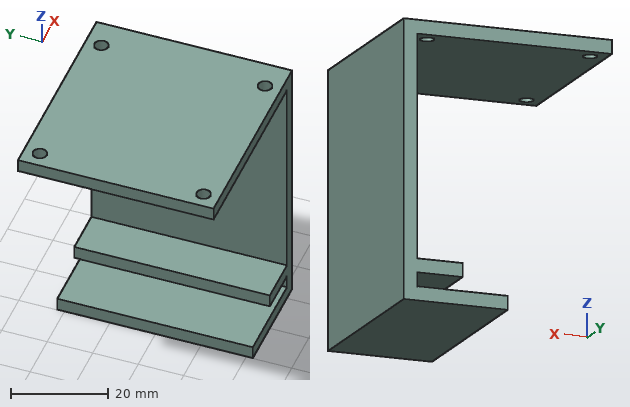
import cadquery as cq

length = 46.0
width = 43.0
height = 60.0
thickness = 3.0

lower_shelf_reach = 20.0
upper_shelf_reach = 10.0
shelf_gap = thickness

hole_diameter = 3.0
hole_spacing = 36.0

plate_reach = length - thickness


def shelf(reach, bottom):
    """Horizontal plate reaching toward -X from the inner face of the wall."""
    return cq.Workplane("XY").box(reach, width, thickness, centered=False).translate(
        (plate_reach - reach, 0, bottom)
    )


wall = cq.Workplane("XY").box(thickness, width, height, centered=False).translate((plate_reach, 0, 0))

top_plate = (
    shelf(plate_reach, height - thickness)
    .faces(">Z")
    .workplane(centerOption="CenterOfBoundBox")
    .rect(hole_spacing, hole_spacing, forConstruction=True)
    .vertices()
    .hole(hole_diameter)
)

lower_shelf = shelf(lower_shelf_reach, 0)
upper_shelf = shelf(upper_shelf_reach, thickness + shelf_gap)

result = wall.union(top_plate).union(lower_shelf).union(upper_shelf)